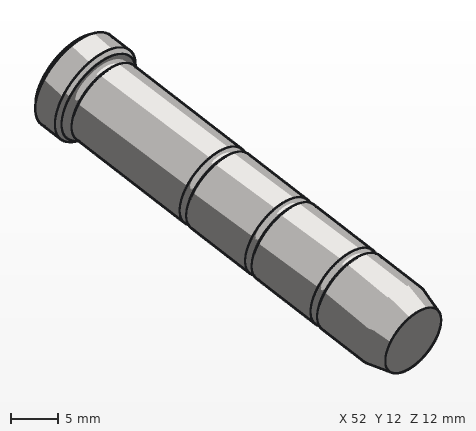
import cadquery as cq

total_length = 52.0
shaft_radius = 10.0 / 2

head_radius = 12.0 / 2
head_length = 4.0
head_chamfer = 0.5

groove_radius = 0.5
groove_pitch = 10.0
first_ring_groove = 22.0
ring_groove_count = 3

tip_length = 3.1
tip_radius = 4.15

x_min = -total_length / 2
x_max = total_length / 2
head_end = x_min + head_length
tip_start = x_max - tip_length


def make_head():
    """Disc with both rims chamfered."""
    return (
        cq.Workplane("YZ", origin=(x_min, 0, 0))
        .circle(head_radius)
        .extrude(head_length)
        .edges()
        .chamfer(head_chamfer)
    )


def make_shaft():
    """Plain shaft whose free end tapers to a smaller flat."""
    return (
        cq.Workplane("XY")
        .moveTo(head_end, 0)
        .lineTo(head_end, shaft_radius)
        .lineTo(tip_start, shaft_radius)
        .lineTo(x_max, tip_radius)
        .lineTo(x_max, 0)
        .close()
        .revolve(360, (0, 0, 0), (1, 0, 0))
    )


def make_groove(center_x):
    """Ring cutter that leaves a semicircular groove around the shaft."""
    return (
        cq.Workplane("XY")
        .center(center_x, shaft_radius)
        .circle(groove_radius)
        .revolve(360, (0, -shaft_radius, 0), (1, -shaft_radius, 0))
    )


shaft = make_shaft().cut(make_groove(head_end + groove_radius))

for index in range(ring_groove_count):
    shaft = shaft.cut(make_groove(x_min + first_ring_groove + index * groove_pitch))

result = make_head().union(shaft)